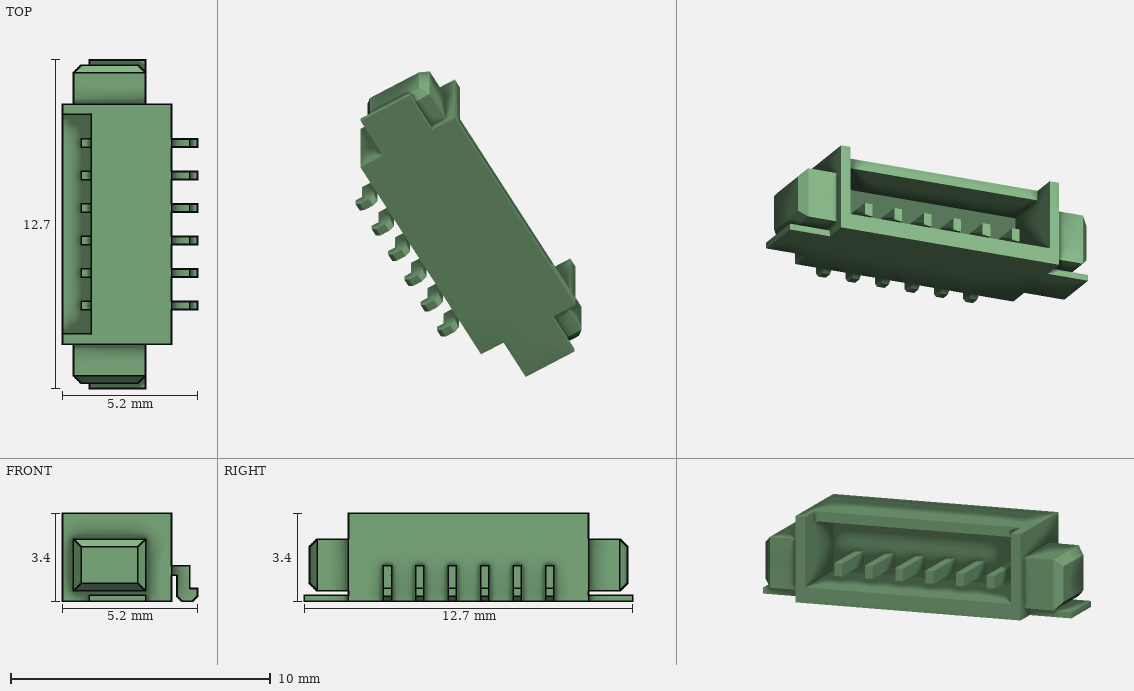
import cadquery as cq


pin_count = 6
pin_pitch = 1.25
pin_width = 0.32
contact_tip_x = 0.72
contact_bottom = 1.0
contact_top = 1.5
leg_top = 1.38
leg_inner_x = 4.4
leg_outer_x = 4.9
foot_tip_x = 5.2
foot_top = 0.5
foot_chamfer = 0.2

end_margin = 1.5
housing_length = (pin_count - 1) * pin_pitch + 2 * end_margin
housing_depth = 4.2
housing_height = 3.4
wall = 0.4
floor = 0.62
rear_wall = 1.05
roof_setback = 1.1
cavity_depth = housing_depth - rear_wall
cavity_length = housing_length - 2 * wall

strip_length = 12.65
strip_front = 1.03
strip_thickness = 0.24

ear_front = 0.42
ear_back = 3.2
ear_bottom = 0.4
ear_top = 2.4
ear_chamfer = 0.3
ear_inset = 0.2
ear_span = strip_length - 2 * ear_inset


def block(x_min, x_max, length, z_min, z_max):
    """Box centred on Y = 0 between the given X and Z limits."""
    size_x = x_max - x_min
    size_z = z_max - z_min
    return (
        cq.Workplane("XY")
        .box(size_x, length, size_z, centered=(False, True, False))
        .translate((x_min, 0, z_min))
    )


def make_pin(y):
    """Straight contact that passes through the rear wall and drops to a solder foot."""
    profile = [
        (contact_tip_x, contact_bottom),
        (contact_tip_x, contact_top),
        (cavity_depth, contact_top),
        (cavity_depth, leg_top),
        (leg_outer_x, leg_top),
        (leg_outer_x, foot_top),
        (foot_tip_x, foot_top),
        (foot_tip_x, foot_chamfer),
        (foot_tip_x - foot_chamfer, 0),
        (leg_inner_x + foot_chamfer, 0),
        (leg_inner_x, foot_chamfer),
        (leg_inner_x, contact_bottom),
    ]
    pin = cq.Workplane("XZ").polyline(profile).close().extrude(pin_width / 2, both=True)
    return pin.translate((0, y, 0))


def make_strip():
    """Flat solder strip that runs under the housing and sticks out at both ends."""
    return block(strip_front, ear_back, strip_length, 0, strip_thickness)


def make_housing(inserts):
    """Open-fronted shell with chamfered ears and fitted openings for the inserts."""
    ears = block(ear_front, ear_back, ear_span, ear_bottom, ear_top)
    ears = ears.faces("<Y or >Y").chamfer(ear_chamfer)
    shell = block(0, housing_depth, housing_length, 0, housing_height).union(ears)

    cavity = block(0, cavity_depth, cavity_length, floor, housing_height - wall)
    roof_notch = block(0, roof_setback, cavity_length, floor, housing_height)
    shell = shell.cut(cavity).cut(roof_notch)

    for insert in inserts:
        shell = shell.cut(insert)
    return shell


pins = []
for index in range(pin_count):
    pin_y = (index - (pin_count - 1) / 2) * pin_pitch
    pins.append(make_pin(pin_y))

strip = make_strip()
housing = make_housing([strip, *pins])

result = cq.Compound.makeCompound([housing.val(), strip.val(), *[pin.val() for pin in pins]])